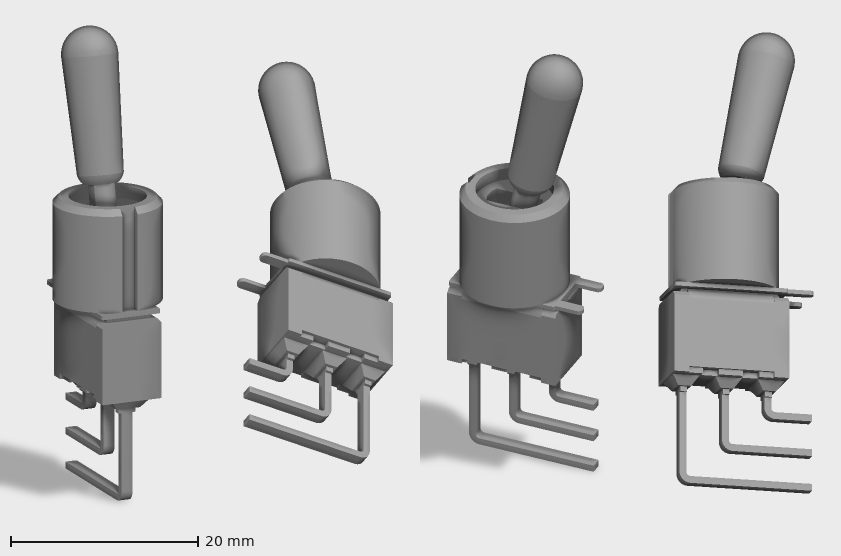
import cadquery as cq
import math


case_length = 12.7
case_width = 6.9
case_height = 8.9
case_edge_chamfer = 0.45
frame_length = 9.35
frame_bottom = 0.6
frame_bend_z = 8.15
frame_bend_mid = (2.95, 8.95)
frame_top_width = 4.45
base_width = 6.15
notch_length = 1.8
notch_depth = 0.75
notch_x = 2.2
collar_size = (11.05, 5.25)
collar_taper = 27

bracket_bottom = 9.4
bracket_thickness = 0.45
bracket_top = bracket_bottom + bracket_thickness
bracket_length = 12.5
bracket_corner_radius = 0.25
prong_tip_x = -9.2
prong_tip_radius = 0.5
prong_width = 1.25
prong_y = 2.5

bushing_diameter = 11.8
bushing_top = 21.25
bushing_chamfer = 0.65
recess_diameter = 8.4
recess_depth = 1.4
recess_floor = bushing_top - recess_depth
slot_diameter = 6.05
slot_width = 2.6
keyway_width = 1.75
keyway_inner_x = 4.95

pivot_z = 14.65
lever_tilt = 12.5
rocker_radius = 4.0
stem_diameter = 2.9
stem_flat_width = 2.4
grip_foot = 7.75
grip_foot_radius = 1.9
grip_foot_rounding = 1.75
grip_start = 8.75
grip_start_radius = 2.5
knob_radius = 3.05
overall_height = 50.3
lowest_z = -11.5
knob_center_z = overall_height + lowest_z - knob_radius
knob_distance = (knob_center_z - pivot_z) / math.cos(math.radians(lever_tilt))

terminal_pitch = 4.7
terminal_thickness = 0.75
terminal_width = 1.3
terminal_tip_x = -9.55
leg_spacing = 3.8
bend_inner_radius = 0.45
shoulder_width = 2.0
shoulder_bottom = -1.55
seal_size = (2.9, 4.25)
seal_height = 1.0
seal_taper = 36


def block(length, width, bottom, top, x=0, y=0):
    """Box centred on (x, y) that spans bottom to top in Z."""
    return cq.Workplane("XY", origin=(x, y, bottom)).rect(length, width).extrude(top - bottom)


def make_case():
    end_length = (case_length - frame_length) / 2
    end_x = (case_length - end_length) / 2
    case = block(frame_length, base_width, 0, frame_bend_z)

    for x in (-notch_x, notch_x):
        for side in (-1, 1):
            y = side * (base_width - notch_depth) / 2
            case = case.cut(block(notch_length, notch_depth, 0, frame_bottom, x, y))

    for x in (-end_x, end_x):
        end = block(end_length, case_width, 0, case_height, x)
        case = case.union(end.edges("|X and >Z").chamfer(case_edge_chamfer))

    half_width = case_width / 2
    half_top = frame_top_width / 2
    mid_y, mid_z = frame_bend_mid
    frame = (
        cq.Workplane("YZ")
        .moveTo(-half_width, frame_bottom)
        .lineTo(half_width, frame_bottom)
        .lineTo(half_width, frame_bend_z)
        .threePointArc((mid_y, mid_z), (half_top, bracket_bottom))
        .lineTo(-half_top, bracket_bottom)
        .threePointArc((-mid_y, mid_z), (-half_width, frame_bend_z))
        .close()
        .extrude(frame_length / 2, both=True)
    )
    collar = (
        cq.Workplane("XY", origin=(0, 0, case_height))
        .rect(*collar_size)
        .extrude(bracket_bottom - case_height, taper=collar_taper)
    )
    return case.union(frame).union(collar)


def make_bracket():
    plate = block(bracket_length, case_width, bracket_bottom, bracket_top)
    bracket = plate.edges("|Z").fillet(bracket_corner_radius)

    for y in (-prong_y, prong_y):
        prong = block(-prong_tip_x, prong_width, bracket_bottom, bracket_top, prong_tip_x / 2, y)
        bracket = bracket.union(prong.edges("|Z and <X").fillet(prong_tip_radius))
    return bracket


def make_bushing():
    bushing = (
        cq.Workplane("XY", origin=(0, 0, bracket_top))
        .circle(bushing_diameter / 2)
        .extrude(bushing_top - bracket_top)
        .faces(">Z")
        .chamfer(bushing_chamfer)
    )
    recess = (
        cq.Workplane("XY", origin=(0, 0, recess_floor))
        .circle(recess_diameter / 2)
        .extrude(recess_depth)
    )

    slot = (
        cq.Workplane("XY", origin=(0, 0, pivot_z))
        .circle(slot_diameter / 2)
        .extrude(recess_floor - pivot_z)
        .intersect(block(slot_diameter, slot_width, pivot_z, recess_floor))
        .cut(cq.Workplane("XY", origin=(0, 0, pivot_z)).sphere(rocker_radius))
    )

    keyway = block(
        bushing_diameter, keyway_width, bracket_top, bushing_top, keyway_inner_x + bushing_diameter / 2
    )
    return bushing.cut(recess).cut(slot).cut(keyway)


def make_lever():
    stem = (
        cq.Workplane("XY")
        .circle(stem_diameter / 2)
        .extrude(grip_start)
        .intersect(block(stem_diameter, stem_flat_width, 0, grip_start))
    )
    grip = (
        cq.Workplane("XZ")
        .moveTo(0, grip_foot)
        .lineTo(grip_foot_radius, grip_foot)
        .radiusArc((grip_start_radius, grip_start), -grip_foot_rounding)
        .lineTo(knob_radius, knob_distance)
        .radiusArc((0, knob_distance + knob_radius), -knob_radius)
        .close()
        .revolve(360, (0, 0), (0, 1))
    )
    upright = stem.union(grip)
    return upright.rotate((0, 0, 0), (0, 1, 0), -lever_tilt).translate((0, 0, pivot_z))


def make_terminal(x, leg_bottom):
    seal = cq.Workplane("XY", origin=(x, 0, 0)).rect(*seal_size).extrude(-seal_height, taper=seal_taper)
    shoulder = block(terminal_thickness, shoulder_width, shoulder_bottom, 0, x)

    inner_x = x - terminal_thickness / 2
    outer_x = x + terminal_thickness / 2
    leg_top = leg_bottom + terminal_thickness
    bend_outer_radius = bend_inner_radius + terminal_thickness
    strip = (
        cq.Workplane("XZ")
        .moveTo(inner_x, 0)
        .lineTo(outer_x, 0)
        .lineTo(outer_x, leg_bottom + bend_outer_radius)
        .radiusArc((outer_x - bend_outer_radius, leg_bottom), bend_outer_radius)
        .lineTo(terminal_tip_x, leg_bottom)
        .lineTo(terminal_tip_x, leg_top)
        .lineTo(inner_x - bend_inner_radius, leg_top)
        .radiusArc((inner_x, leg_top + bend_inner_radius), -bend_inner_radius)
        .close()
        .extrude(terminal_width / 2, both=True)
    )
    return seal.union(shoulder).union(strip)


result = make_case().union(make_bracket()).union(make_bushing()).union(make_lever())
for position in (-1, 0, 1):
    leg_bottom = lowest_z + (1 - position) * leg_spacing
    result = result.union(make_terminal(position * terminal_pitch, leg_bottom))